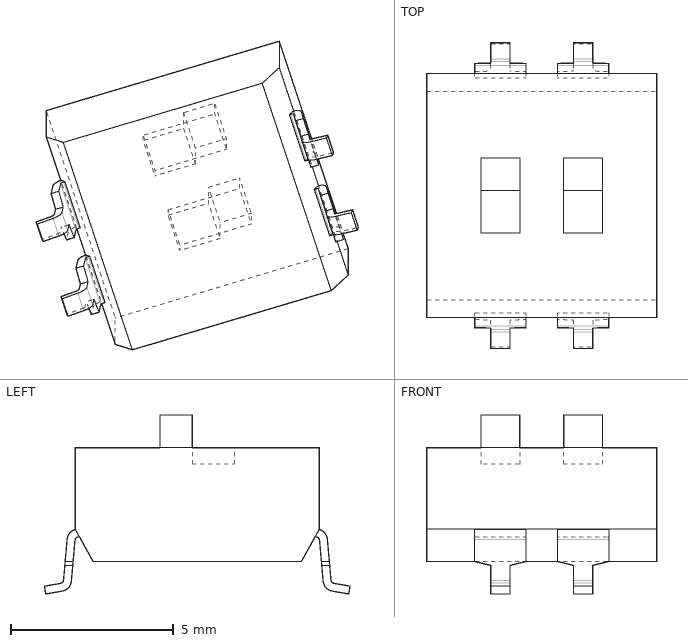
import cadquery as cq
import math


body_width = 7.06
body_length = 7.5
body_height = 3.5
bevel_height = 1.0
bevel_inset = 0.55

pitch = 2.54
position_count = 2
first_position_x = -(position_count - 1) * pitch / 2
position_xs = [first_position_x + i * pitch for i in range(position_count)]

window_width = 1.2
window_length = 2.3
window_depth = 0.5
slider_length = 1.0
slider_rise = 1.0

lead_span = 9.39
lead_drop = 1.0
lead_thickness = 0.25
bend_inner_radius = 0.1
bend_outer_radius = bend_inner_radius + lead_thickness
leg_tilt = math.radians(5)
foot_tilt = math.radians(10)
shoulder_setback = 0.1
lead_embed = 0.25
lead_wide_width = 1.58
lead_narrow_width = 0.6
neck_height = 0.12


def offset(point, direction, distance):
    """Point reached by moving a distance along a unit direction."""
    return (point[0] + distance * direction[0], point[1] + distance * direction[1])


def along(point, direction):
    """Component of a point along a unit direction."""
    return point[0] * direction[0] + point[1] * direction[1]


def unit(angle):
    """Unit direction at an angle from +Y towards +Z."""
    return (math.cos(angle), math.sin(angle))


def make_body():
    """Block whose lower edges are bevelled on the two lead sides."""
    half_length = body_length / 2
    half_base = half_length - bevel_inset
    return (
        cq.Workplane("YZ")
        .moveTo(-half_base, 0)
        .lineTo(half_base, 0)
        .lineTo(half_length, bevel_height)
        .lineTo(half_length, body_height)
        .lineTo(-half_length, body_height)
        .lineTo(-half_length, bevel_height)
        .close()
        .extrude(body_width / 2, both=True)
    )


def make_window(x):
    """Pocket cutter for one actuator window."""
    return (
        cq.Workplane("XY", origin=(x, 0, body_height - window_depth))
        .rect(window_width, window_length)
        .extrude(window_depth)
    )


def make_slider(x):
    """Slider pushed against the +Y end of its window."""
    slider_y = (window_length - slider_length) / 2
    return (
        cq.Workplane("XY", origin=(x, slider_y, body_height - window_depth))
        .rect(window_width, slider_length)
        .extrude(window_depth + slider_rise)
    )


def make_lead_strip():
    """Full-width bent strip of a +Y lead, centred on X = 0."""
    leg_normal = unit(leg_tilt)
    leg_direction = unit(leg_tilt - math.pi / 2)
    foot_normal = unit(-foot_tilt - math.pi / 2)
    up = unit(math.pi / 2)

    shoulder = (body_length / 2 - shoulder_setback, bevel_height - bend_outer_radius)
    shoulder_middle = unit((leg_tilt + math.pi / 2) / 2)
    embed_y = shoulder[0] - lead_embed

    tip_bottom = (lead_span / 2 - lead_thickness * math.sin(foot_tilt), -lead_drop)
    tip_top = offset(tip_bottom, foot_normal, -lead_thickness)
    leg_top = offset(shoulder, leg_normal, bend_outer_radius + bend_inner_radius)
    leg_drop = along(tip_bottom, foot_normal) - bend_outer_radius - along(leg_top, foot_normal)
    leg_length = leg_drop / along(leg_direction, foot_normal)

    ankle = offset(leg_top, leg_direction, leg_length)
    ankle_start = (-leg_normal[0], -leg_normal[1])
    ankle_middle = unit(math.pi + (leg_tilt + math.pi / 2 - foot_tilt) / 2)

    return (
        cq.Workplane("YZ")
        .moveTo(embed_y, bevel_height)
        .lineTo(*offset(shoulder, up, bend_outer_radius))
        .threePointArc(
            offset(shoulder, shoulder_middle, bend_outer_radius),
            offset(shoulder, leg_normal, bend_outer_radius),
        )
        .lineTo(*offset(ankle, ankle_start, bend_inner_radius))
        .threePointArc(
            offset(ankle, ankle_middle, bend_inner_radius),
            offset(ankle, foot_normal, bend_inner_radius),
        )
        .lineTo(*tip_top)
        .lineTo(*tip_bottom)
        .lineTo(*offset(ankle, foot_normal, bend_outer_radius))
        .threePointArc(
            offset(ankle, ankle_middle, bend_outer_radius),
            offset(ankle, ankle_start, bend_outer_radius),
        )
        .lineTo(*offset(shoulder, leg_normal, bend_inner_radius))
        .threePointArc(
            offset(shoulder, shoulder_middle, bend_inner_radius),
            offset(shoulder, up, bend_inner_radius),
        )
        .lineTo(embed_y, bevel_height - lead_thickness)
        .close()
        .extrude(lead_wide_width / 2, both=True)
    )


def make_lead():
    """A +Y lead at X = 0: wide at the shoulder, necking down to a narrow foot."""
    half_wide = lead_wide_width / 2
    half_narrow = lead_narrow_width / 2
    outline = (
        cq.Workplane("XZ")
        .moveTo(-half_wide, bevel_height)
        .lineTo(-half_wide, 0)
        .lineTo(-half_narrow, -neck_height)
        .lineTo(-half_narrow, -lead_drop)
        .lineTo(half_narrow, -lead_drop)
        .lineTo(half_narrow, -neck_height)
        .lineTo(half_wide, 0)
        .lineTo(half_wide, bevel_height)
        .close()
        .extrude(-lead_span / 2)
    )
    return make_lead_strip().intersect(outline)


result = make_body()
lead = make_lead()
for position_x in position_xs:
    result = result.cut(make_window(position_x))
    result = result.union(make_slider(position_x))
    back_lead = lead.translate((position_x, 0, 0))
    result = result.union(back_lead).union(back_lead.mirror("XZ"))